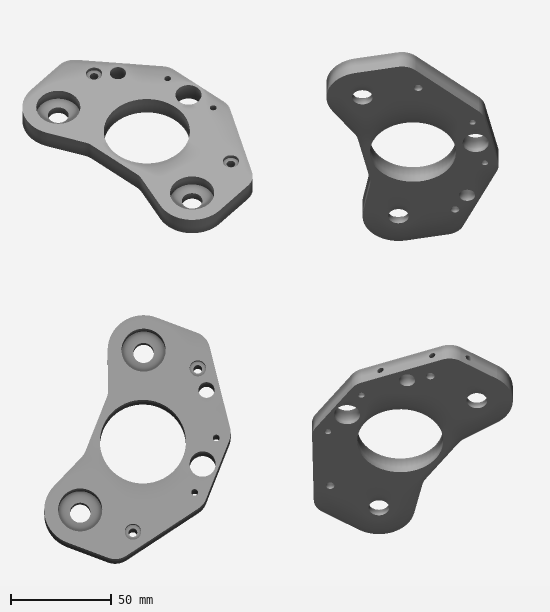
import cadquery as cq
import math

LENGTH = 124.0
THICKNESS = 10.0
HALF_LENGTH = LENGTH / 2
TOP_EDGE_Y = 40.0
TOP_CORNER_X = 19.5
SIDE_CORNER_Y = 10.4
WAIST_EDGE_Y = -25.0
WAIST_CORNER_X = 16.7
CORNER_RADIUS = 10.0

EAR_RADIUS = 18.0
EAR_X = HALF_LENGTH - EAR_RADIUS
EAR_Y = -16.6
EAR_HOLE_DIAMETER = 10.3
EAR_COUNTERBORE_DIAMETER = 22.1
EAR_COUNTERBORE_DEPTH = 6.0

SCREW_X = 45.0
SCREW_Y = 12.0
SCREW_HOLE_DIAMETER = 4.3
SCREW_COUNTERBORE_DIAMETER = 8.2
SCREW_COUNTERBORE_DEPTH = 2.0

BORE_DIAMETER = 43.0
UPPER_HOLE_DIAMETER = 13.0
UPPER_HOLE_Y = 32.0
PIN_HOLE_DIAMETER = 3.3
PIN_HOLE_X = 15.0
PIN_HOLE_Y = 33.5
OFFSET_HOLE_DIAMETER = 8.0
OFFSET_HOLE_X = -36.2
OFFSET_HOLE_Y = 20.1

EDGE_HOLE_DIAMETER = 3.3
EDGE_HOLE_DEPTH = 10.0
DRILL_POINT_ANGLE = 118.0
SIDE_HOLE_Y = 0.5
SLOPE_HOLE_YS = (16.5, 32.4)


def ear_tangent_point():
    """Point where the line from the right waist corner touches the underside of the ear."""
    dx = WAIST_CORNER_X - EAR_X
    dy = WAIST_EDGE_Y - EAR_Y
    angle = math.atan2(dy, dx) + math.acos(EAR_RADIUS / math.hypot(dx, dy))
    return EAR_X + EAR_RADIUS * math.cos(angle), EAR_Y + EAR_RADIUS * math.sin(angle)


def make_plate():
    tangent_x, tangent_y = ear_tangent_point()
    middle_angle = (math.atan2(tangent_y - EAR_Y, tangent_x - EAR_X)) / 2
    middle_x = EAR_X + EAR_RADIUS * math.cos(middle_angle)
    middle_y = EAR_Y + EAR_RADIUS * math.sin(middle_angle)
    plate = (
        cq.Workplane("XY")
        .moveTo(-TOP_CORNER_X, TOP_EDGE_Y)
        .lineTo(TOP_CORNER_X, TOP_EDGE_Y)
        .lineTo(HALF_LENGTH, SIDE_CORNER_Y)
        .lineTo(HALF_LENGTH, EAR_Y)
        .threePointArc((middle_x, middle_y), (tangent_x, tangent_y))
        .lineTo(WAIST_CORNER_X, WAIST_EDGE_Y)
        .lineTo(-WAIST_CORNER_X, WAIST_EDGE_Y)
        .lineTo(-tangent_x, tangent_y)
        .threePointArc((-middle_x, middle_y), (-HALF_LENGTH, EAR_Y))
        .lineTo(-HALF_LENGTH, SIDE_CORNER_Y)
        .close()
        .extrude(THICKNESS)
    )
    for corner_x, corner_y in (
        (TOP_CORNER_X, TOP_EDGE_Y),
        (HALF_LENGTH, SIDE_CORNER_Y),
        (WAIST_CORNER_X, WAIST_EDGE_Y),
    ):
        for x in (-corner_x, corner_x):
            edge = cq.selectors.NearestToPointSelector((x, corner_y, THICKNESS / 2))
            plate = plate.edges("|Z").edges(edge).fillet(CORNER_RADIUS)
    return plate


def vertical_cutter(x, y, diameter, depth=THICKNESS):
    """Cylinder reaching down from the top face by the given depth."""
    return cq.Workplane("XY", origin=(x, y, THICKNESS - depth)).circle(diameter / 2).extrude(depth)


def edge_cutter(x, y, inward):
    """Drill shape with a pointed end, entering the edge at (x, y) at mid thickness."""
    radius = EDGE_HOLE_DIAMETER / 2
    tip_length = radius / math.tan(math.radians(DRILL_POINT_ANGLE / 2))
    start = cq.Vector(x, y, THICKNESS / 2)
    direction = cq.Vector(*inward)
    shank = cq.Solid.makeCylinder(radius, EDGE_HOLE_DEPTH, start, direction)
    tip = cq.Solid.makeCone(radius, 0, tip_length, start + direction * EDGE_HOLE_DEPTH, direction)
    return cq.Workplane(shank).union(cq.Workplane(tip))


result = make_plate()

for x, y, diameter in (
    (0, 0, BORE_DIAMETER),
    (0, UPPER_HOLE_Y, UPPER_HOLE_DIAMETER),
    (OFFSET_HOLE_X, OFFSET_HOLE_Y, OFFSET_HOLE_DIAMETER),
):
    result = result.cut(vertical_cutter(x, y, diameter))

for side in (-1, 1):
    result = result.cut(vertical_cutter(side * PIN_HOLE_X, PIN_HOLE_Y, PIN_HOLE_DIAMETER))
    for x, y, hole_diameter, counterbore_diameter, counterbore_depth in (
        (EAR_X, EAR_Y, EAR_HOLE_DIAMETER, EAR_COUNTERBORE_DIAMETER, EAR_COUNTERBORE_DEPTH),
        (SCREW_X, SCREW_Y, SCREW_HOLE_DIAMETER, SCREW_COUNTERBORE_DIAMETER, SCREW_COUNTERBORE_DEPTH),
    ):
        result = result.cut(vertical_cutter(side * x, y, hole_diameter))
        result = result.cut(vertical_cutter(side * x, y, counterbore_diameter, counterbore_depth))

result = result.cut(edge_cutter(-HALF_LENGTH, SIDE_HOLE_Y, (1, 0, 0)))

slope_run = HALF_LENGTH - TOP_CORNER_X
slope_rise = TOP_EDGE_Y - SIDE_CORNER_Y
slope_length = math.hypot(slope_run, slope_rise)
slope_inward = (slope_rise / slope_length, -slope_run / slope_length, 0)
for y in SLOPE_HOLE_YS:
    x = -HALF_LENGTH + (y - SIDE_CORNER_Y) * slope_run / slope_rise
    result = result.cut(edge_cutter(x, y, slope_inward))